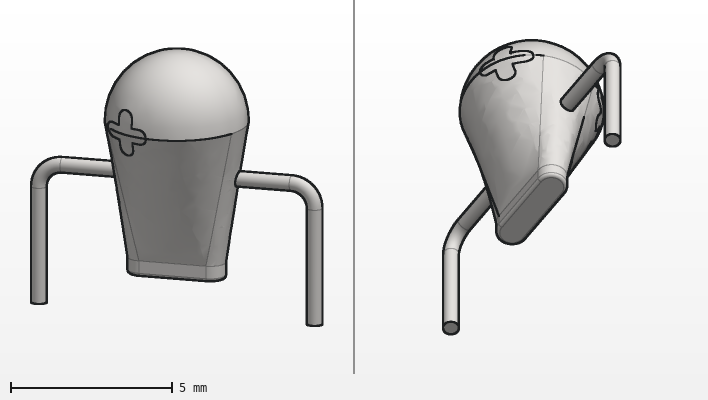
import cadquery as cq
import math

overall_length = 9.39
overall_height = 8.47

lead_diameter = 0.5
lead_radius = lead_diameter / 2
lead_bend_radius = 0.75
lead_axis_height = 4.5
lead_inner_end = 0.94
lead_offset = overall_length / 2 - lead_radius

dome_radius = 2.24
dome_base_height = overall_height - dome_radius
foot_bottom = 1.22
foot_top = 1.74
foot_width = 1.0
foot_end_radius = foot_width / 2
foot_straight_half = 1.08
foot_edge_fillet = 0.11
flank_corner_angle = math.radians(25)

mark_center_x = -1.13
mark_span = 1.5
mark_arm_width = 0.5


def four_arc_wire(corner_x, corner_y, end_x, side_y, height):
    """Closed outline of two end arcs and two sides, split at four corners."""

    def point(x, y):
        return cq.Vector(x, y, height)

    def side(sign):
        start = point(sign * corner_x, sign * corner_y)
        end = point(-sign * corner_x, sign * corner_y)
        if math.isclose(side_y, corner_y):
            return cq.Edge.makeLine(start, end)
        return cq.Edge.makeThreePointArc(start, point(0, sign * side_y), end)

    def end_arc(sign):
        return cq.Edge.makeThreePointArc(
            point(sign * corner_x, -sign * corner_y),
            point(sign * end_x, 0),
            point(sign * corner_x, sign * corner_y),
        )

    return cq.Wire.assembleEdges([end_arc(1), side(1), end_arc(-1), side(-1)])


def make_envelope():
    """Solid outer shape of the housing, without recesses."""
    foot = (
        cq.Workplane("XY")
        .workplane(offset=foot_bottom)
        .slot2D(2 * (foot_straight_half + foot_end_radius), foot_width)
        .extrude(foot_top - foot_bottom)
        .faces("<Z")
        .edges()
        .fillet(foot_edge_fillet)
    )
    foot_outline = four_arc_wire(
        foot_straight_half,
        foot_end_radius,
        foot_straight_half + foot_end_radius,
        foot_end_radius,
        foot_top,
    )
    dome_outline = four_arc_wire(
        dome_radius * math.cos(flank_corner_angle),
        dome_radius * math.sin(flank_corner_angle),
        dome_radius,
        dome_radius,
        dome_base_height,
    )
    flanks = cq.Workplane(cq.Solid.makeLoft([foot_outline, dome_outline], True))
    dome = cq.Workplane(
        cq.Solid.makeSphere(
            dome_radius, cq.Vector(0, 0, dome_base_height), angleDegrees1=0, angleDegrees2=90
        )
    )
    return foot.union(flanks).union(dome)


def make_mark(envelope):
    """Plus that runs through the housing along Y, flush with its surface."""
    arms = cq.Workplane("XZ", origin=(mark_center_x, 0, dome_base_height))
    level_arm = arms.slot2D(mark_span, mark_arm_width).extrude(dome_radius, both=True)
    upright_arm = arms.slot2D(mark_span, mark_arm_width, 90).extrude(dome_radius, both=True)
    return level_arm.union(upright_arm).intersect(envelope)


def make_lead(side):
    """Bent round wire; side is -1 for the -X lead and 1 for the +X lead."""
    bend_start = lead_offset - lead_bend_radius
    bend_drop = lead_bend_radius * (1 - math.sqrt(0.5))
    path = (
        cq.Workplane("XZ")
        .moveTo(side * lead_offset, 0)
        .lineTo(side * lead_offset, lead_axis_height - lead_bend_radius)
        .threePointArc(
            (side * (lead_offset - bend_drop), lead_axis_height - bend_drop),
            (side * bend_start, lead_axis_height),
        )
        .lineTo(side * lead_inner_end, lead_axis_height)
    )
    return cq.Workplane("XY", origin=(side * lead_offset, 0, 0)).circle(lead_radius).sweep(path)


def make_housing(envelope, inserts):
    """Housing with a matching recess for every inserted body."""
    housing = envelope
    for insert in inserts:
        housing = housing.cut(insert)
    return housing


envelope = make_envelope()
mark = make_mark(envelope)
leads = [make_lead(side) for side in (-1, 1)]
housing = make_housing(envelope, [mark, *leads])

result = cq.Compound.makeCompound(
    [*housing.solids().vals(), *mark.solids().vals(), *[lead.val() for lead in leads]]
)